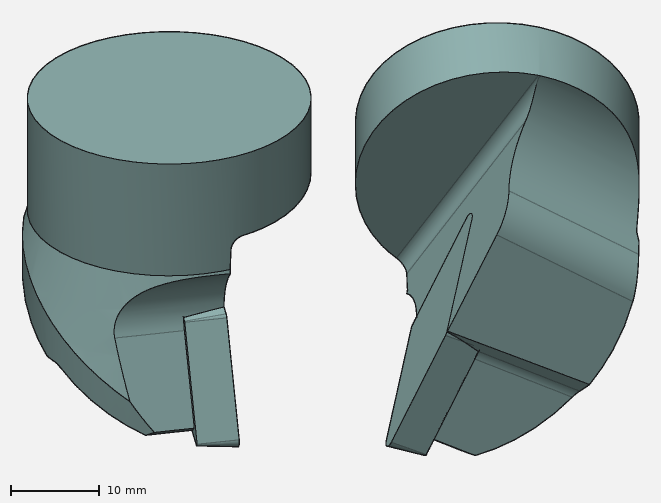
import cadquery as cq
import math

SHANK_RADIUS = 32.0 / 2
SHANK_HEIGHT = 14.25
BIG = 113.58

HEAD_DEPTH = 35.95
FLARE_ANGLE = 20.0
WALL_RADIUS = 19.8
WALL_CENTRE = (3.25, 2.25)

RAKE_OFFSET = 2.85
RAKE_X = 0.063
RAKE_Z = 0.042

FLOOR_HEIGHT = -8.97
FLOOR_SLOPE = 0.086
FLOOR_FILLET = 1.5

FLANK_TOP = -7.65
FLANK_ARC_RADIUS = 10.15
FLANK_ARC_SWEEP = 85.5
HEEL_RADIUS = 5.45
HEEL_ANGLE = 27.5

INSERT_SIDE = 16.6
INSERT_HALF_ANGLE = 35.0 / 2
INSERT_AXIS_ANGLE = 45.4
INSERT_CENTRE = (11.95, -23.85)
INSERT_THICKNESS = 4.8
INSERT_RELIEF = 7.0
NOSE_RADIUS = 0.8

LOWER_INSET = 0.85
RIGHT_INSET = 1.1
TIP_FLAT = 1.33
NECK_RADIUS = 6.2
NECK_HEIGHT = -19.1
STEP_HEIGHT = -27.2
STEP_RADIUS = 4.4 / 2

rake_plane = cq.Plane(
    origin=(0, RAKE_OFFSET, 0), xDir=(1, -RAKE_X, 0), normal=(-RAKE_X, -1, RAKE_Z)
)


def direction(angle):
    """Unit vector pointing at an angle below the +x direction."""
    return cq.Vector(math.cos(math.radians(angle)), -math.sin(math.radians(angle)))


def xy(point):
    return (point.x, point.y)


def meet(p, u, q, v):
    """Point where the line p + t*u meets the line q + s*v."""
    gap = q - p
    t = (gap.x * v.y - gap.y * v.x) / (u.x * v.y - u.y * v.x)
    return p + u * t


lower_angle = INSERT_AXIS_ANGLE - INSERT_HALF_ANGLE
right_angle = INSERT_AXIS_ANGLE + INSERT_HALF_ANGLE
insert_centre = cq.Vector(*INSERT_CENTRE)
half_length = INSERT_SIDE * math.cos(math.radians(INSERT_HALF_ANGLE))
half_width = INSERT_SIDE * math.sin(math.radians(INSERT_HALF_ANGLE))
insert_axis = direction(INSERT_AXIS_ANGLE)
insert_across = direction(INSERT_AXIS_ANGLE + 90)
insert_tip = insert_centre + insert_axis * half_length


def make_insert():
    corners = [
        insert_tip,
        insert_centre + insert_across * half_width,
        insert_centre - insert_axis * half_length,
        insert_centre - insert_across * half_width,
    ]
    outline = cq.Sketch().polygon([xy(c) for c in corners + corners[:1]]).vertices().fillet(NOSE_RADIUS)
    return cq.Workplane(rake_plane).placeSketch(outline).extrude(INSERT_THICKNESS, taper=INSERT_RELIEF)


def half_space(origin, normal):
    """Large block filling the side of a plane that its normal points to."""
    return cq.Workplane(cq.Plane(origin=origin, normal=normal)).rect(BIG, BIG).extrude(BIG)


def make_back_cutter():
    """Space behind the rake face and below the sloping floor, with a rounded inner edge."""
    behind = half_space((0, RAKE_OFFSET, 0), (RAKE_X, 1, -RAKE_Z))
    below = half_space((0, 0, FLOOR_HEIGHT), (-FLOOR_SLOPE, 0, -1))
    corner = (0, RAKE_OFFSET + RAKE_Z * FLOOR_HEIGHT, FLOOR_HEIGHT)
    cutter = behind.intersect(below)
    return cutter.edges(cq.selectors.NearestToPointSelector(corner)).fillet(FLOOR_FILLET)


def make_flank_cutter():
    """Space left of the head: concave arc, rounded heel, then the sloping underside."""
    left = -SHANK_RADIUS
    arc_centre = cq.Vector(left, FLANK_TOP - FLANK_ARC_RADIUS)
    arc_middle = arc_centre + direction(FLANK_ARC_SWEEP / 2 - 90) * FLANK_ARC_RADIUS
    arc_end = arc_centre + direction(FLANK_ARC_SWEEP - 90) * FLANK_ARC_RADIUS
    heel_centre = arc_end + direction(FLANK_ARC_SWEEP - 90) * HEEL_RADIUS
    heel_middle = heel_centre + direction((FLANK_ARC_SWEEP + HEEL_ANGLE) / 2 + 90) * HEEL_RADIUS
    heel_end = heel_centre + direction(HEEL_ANGLE + 90) * HEEL_RADIUS
    far = heel_end + direction(HEEL_ANGLE) * BIG
    return (
        cq.Workplane("XZ")
        .moveTo(left - FLANK_ARC_RADIUS, FLANK_TOP)
        .lineTo(left, FLANK_TOP)
        .threePointArc(xy(arc_middle), xy(arc_end))
        .threePointArc(xy(heel_middle), xy(heel_end))
        .lineTo(*xy(far))
        .lineTo(left - FLANK_ARC_RADIUS, far.y)
        .close()
        .extrude(BIG / 2, both=True)
    )


def make_front_cutter():
    """Space below and right of the head, square to the rake face: step, tip and neck."""
    lower_dir = direction(lower_angle)
    right_dir = direction(right_angle)
    lower_point = insert_tip - direction(lower_angle + 90) * LOWER_INSET
    right_point = insert_tip + direction(right_angle + 90) * RIGHT_INSET
    sharp = meet(lower_point, lower_dir, right_point, right_dir)

    step_level = cq.Vector(0, STEP_HEIGHT)
    corner = meet(step_level, cq.Vector(1, 0), lower_point, lower_dir)
    tangent = STEP_RADIUS * math.tan(math.radians(lower_angle / 2))
    step_begin = corner - cq.Vector(tangent, 0)
    step_centre = step_begin - cq.Vector(0, STEP_RADIUS)
    step_middle = step_centre + direction(lower_angle / 2 - 90) * STEP_RADIUS
    step_end = corner + lower_dir * tangent

    arc_line = right_point + direction(right_angle - 90) * NECK_RADIUS
    neck_centre = meet(arc_line, right_dir, cq.Vector(0, NECK_HEIGHT), cq.Vector(1, 0))
    neck_end = neck_centre + direction(right_angle + 90) * NECK_RADIUS
    neck_middle = neck_centre - cq.Vector(NECK_RADIUS, 0)
    neck_top = neck_centre + cq.Vector(0, NECK_RADIUS)

    return (
        cq.Workplane(rake_plane)
        .moveTo(-BIG, -BIG)
        .lineTo(-BIG, STEP_HEIGHT)
        .lineTo(*xy(step_begin))
        .threePointArc(xy(step_middle), xy(step_end))
        .lineTo(*xy(sharp - lower_dir * TIP_FLAT))
        .lineTo(*xy(sharp - right_dir * TIP_FLAT))
        .lineTo(*xy(neck_end))
        .threePointArc(xy(neck_middle), xy(neck_top))
        .lineTo(BIG, neck_top.y)
        .lineTo(BIG, -BIG)
        .close()
        .extrude(BIG / 2, both=True)
    )


def make_head():
    bottom = -SHANK_HEIGHT - HEAD_DEPTH
    bottom_radius = SHANK_RADIUS + HEAD_DEPTH * math.tan(math.radians(FLARE_ANGLE))
    cone = cq.Workplane(
        cq.Solid.makeCone(bottom_radius, SHANK_RADIUS, HEAD_DEPTH, pnt=cq.Vector(0, 0, bottom))
    )
    wall = cq.Workplane("XY").center(*WALL_CENTRE).circle(WALL_RADIUS).extrude(-BIG)
    return cone.intersect(wall).cut(make_front_cutter())


def make_holder(insert):
    shank = cq.Workplane("XY").circle(SHANK_RADIUS).extrude(-SHANK_HEIGHT)
    blank = shank.union(make_head()).cut(make_flank_cutter()).cut(make_back_cutter())
    return blank.cut(insert)


insert = make_insert()
holder = make_holder(insert)

result = cq.Compound.makeCompound([holder.val(), insert.val()])